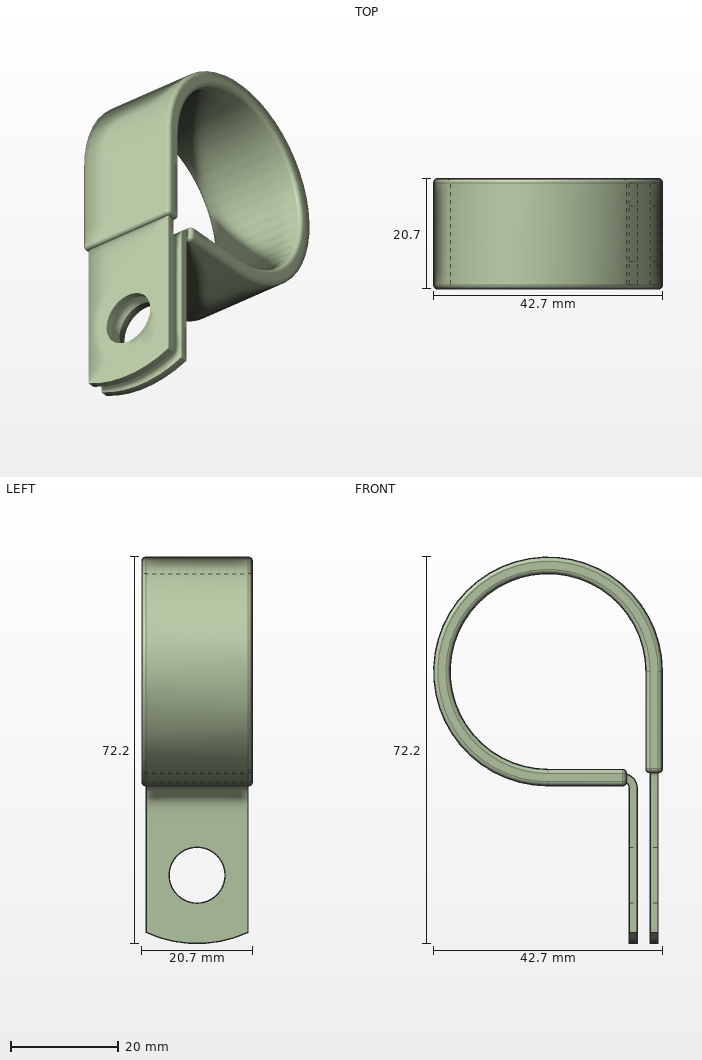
import cadquery as cq

overall_height = 72.15
loop_outer_radius = 21.35
strap_thickness = 1.5
strap_width = 19.05
cushion_wall = 0.8
edge_radius = 0.8
upright_leg_length = 18.9
flat_leg_length = 14.65
tab_gap = 2.4
bend_outer_radius = 2.75
tip_sagitta = 2.1
hole_diameter = 10.4
hole_height = 12.8

cushion_thickness = strap_thickness + 2 * cushion_wall
cushion_width = strap_width + 2 * cushion_wall
loop_inner_radius = loop_outer_radius - cushion_thickness
strap_outer_radius = loop_outer_radius - cushion_wall
strap_inner_radius = strap_outer_radius - strap_thickness
bottom = loop_outer_radius - overall_height
bent_tab_face = strap_inner_radius - tab_gap
bend_inner_radius = bend_outer_radius - strap_thickness
bend_center_x = bent_tab_face - bend_outer_radius
bend_center_z = -strap_inner_radius - bend_outer_radius
diagonal = 0.5 ** 0.5


def extrude_centered(sketch, width):
    """Extrude an XZ outline symmetrically about Y = 0."""
    return sketch.extrude(width / 2, both=True)


def make_cushion():
    """Three-quarter loop with an upright leg and a flat leg, all edges rounded."""
    outer_mid = loop_outer_radius * diagonal
    inner_mid = loop_inner_radius * diagonal
    outline = (
        cq.Workplane("XZ")
        .moveTo(loop_outer_radius, -upright_leg_length)
        .lineTo(loop_outer_radius, 0)
        .threePointArc((-outer_mid, outer_mid), (0, -loop_outer_radius))
        .lineTo(flat_leg_length, -loop_outer_radius)
        .lineTo(flat_leg_length, -loop_inner_radius)
        .lineTo(0, -loop_inner_radius)
        .threePointArc((-inner_mid, inner_mid), (loop_inner_radius, 0))
        .lineTo(loop_inner_radius, -upright_leg_length)
        .close()
    )
    return extrude_centered(outline, cushion_width).edges().fillet(edge_radius)


def make_straight_tab():
    """Strap running straight down out of the upright leg."""
    outline = (
        cq.Workplane("XZ")
        .moveTo(strap_inner_radius, 0)
        .lineTo(strap_outer_radius, 0)
        .lineTo(strap_outer_radius, bottom)
        .lineTo(strap_inner_radius, bottom)
        .close()
    )
    return extrude_centered(outline, strap_width)


def make_bent_tab():
    """Strap leaving the flat leg and bending down beside the straight tab."""
    outer_offset = bend_outer_radius * diagonal
    outer_mid = (bend_center_x + outer_offset, bend_center_z + outer_offset)
    inner_offset = bend_inner_radius * diagonal
    inner_mid = (bend_center_x + inner_offset, bend_center_z + inner_offset)
    outline = (
        cq.Workplane("XZ")
        .moveTo(0, -strap_inner_radius)
        .lineTo(bend_center_x, -strap_inner_radius)
        .threePointArc(outer_mid, (bent_tab_face, bend_center_z))
        .lineTo(bent_tab_face, bottom)
        .lineTo(bent_tab_face - strap_thickness, bottom)
        .lineTo(bent_tab_face - strap_thickness, bend_center_z)
        .threePointArc(inner_mid, (bend_center_x, -strap_outer_radius))
        .lineTo(0, -strap_outer_radius)
        .close()
    )
    return extrude_centered(outline, strap_width)


def make_tab_envelope():
    """Rounded-tip tab shape with the bolt hole, extruded along X."""
    half_width = strap_width / 2
    return (
        cq.Workplane("YZ")
        .moveTo(-half_width, 0)
        .lineTo(-half_width, bottom + tip_sagitta)
        .threePointArc((0, bottom), (half_width, bottom + tip_sagitta))
        .lineTo(half_width, 0)
        .close()
        .moveTo(0, bottom + hole_height)
        .circle(hole_diameter / 2)
        .extrude(loop_outer_radius)
    )


tabs = make_straight_tab().union(make_bent_tab()).intersect(make_tab_envelope())
result = make_cushion().union(tabs)